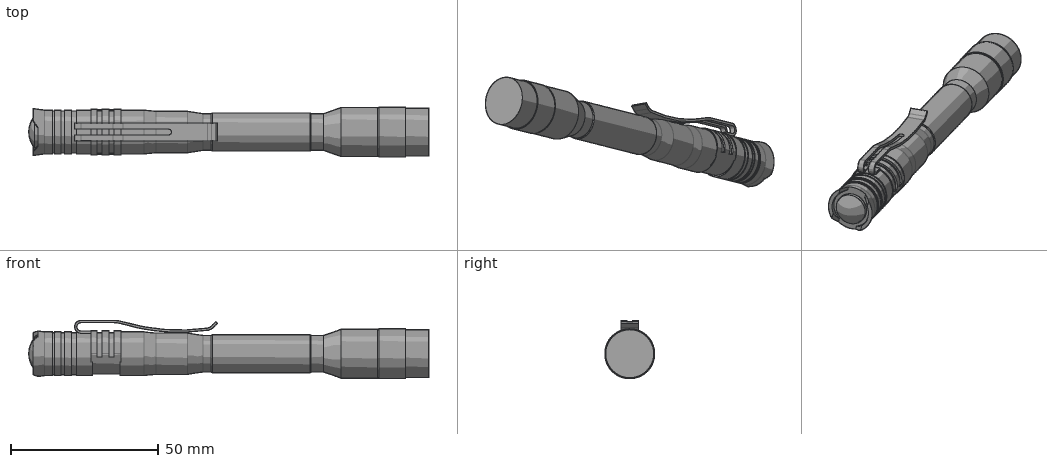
import cadquery as cq
import math

LENGTH = 135.8
HEIGHT = 19.8
HEAD_RADIUS = 17.0 / 2

CAP_START = 1.5
CAP_END = 16.2
CAP_NECK_START = 14.5
CROWN_END = 5.3
CROWN_RADIUS = 8.0
GRIP_RADIUS = 7.5
GROOVE_DEPTH = 0.3
CAP_GROOVES = [(8.0, 8.8), (11.0, 12.1)]
WELL_RADIUS = 6.7
WELL_FLOOR = 3.1
BUTTON_RADIUS = 5.3
BUTTON_EDGE = 1.9
NOTCH_FLOOR_WIDTH = 6.5
NOTCH_MOUTH_WIDTH = 10.9
NOTCH_TURN = 15.0

BARREL_END = 118.5
SHOULDER_START = 39.1
SHOULDER_END = 43.2
WAIST_RADIUS = 7.0
WAIST_END = 54.0
NECK_RADIUS = 6.2
REAR_NECK_START = 59.2
TUBE_START = 62.0
TUBE_END = 95.9
TUBE_RADIUS = 6.5
TUBE_CHAMFER = 0.4
FRONT_NECK_END = 100.1
BELL_START = 106.1
BELL_RADIUS = 16.7 / 2

COLLAR_START = 21.2
COLLAR_END = 31.4
COLLAR_RADIUS = 15.6 / 2
COLLAR_DEPTH_BELOW = 6.9
COLLAR_RECESS_INSET = 0.4
SLOT_STARTS = [23.2, 27.3]
SLOT_WIDTH = 1.6
SLOT_FLOOR_RADIUS = 7.2
SLOT_BOTTOM = -1.1

HEAD_CHAMFER = 0.4
HEAD_BAND_END = 128.0
LIP_RADIUS = 8.2

CLIP_TOP = HEIGHT - HEAD_RADIUS
CLIP_THICKNESS = 0.8
CLIP_WIDTH = 6.0
CLIP_SLOT_WIDTH = 1.9
CLIP_SLOT_END = 48.5
LEG_HEIGHT = 7.3
HOOK_CENTER = 17.8
FLAT_END = 28.7
DIP_ANGLE = math.radians(16.5)
DIP_BEND_RADIUS = 11.5
SPRING_RADIUS = 67.9
RISE_ANGLE = math.radians(8)
TIP_ANGLE = math.radians(45)
TIP_BEND_RADIUS = 3.0
TIP_LENGTH = 2.0


def revolve_about_x(points):
    """Turn an (x, radius) outline, closed along the axis, into a solid about X."""
    return cq.Workplane("XY").polyline(points).close().revolve(360, (0, 0, 0), (1, 0, 0))


def cylinder_x(start, end, radius):
    return cq.Workplane("YZ", origin=(start, 0, 0)).circle(radius).extrude(end - start)


def ring_x(start, end, outer, inner):
    return cq.Workplane("YZ", origin=(start, 0, 0)).circle(outer).circle(inner).extrude(end - start)


def make_button():
    sphere_radius = (BUTTON_RADIUS**2 + BUTTON_EDGE**2) / (2 * BUTTON_EDGE)
    half_angle = math.asin(BUTTON_RADIUS / sphere_radius) / 2
    dome_middle = (
        sphere_radius * (1 - math.cos(half_angle)),
        sphere_radius * math.sin(half_angle),
    )
    return (
        cq.Workplane("XY")
        .moveTo(0, 0)
        .threePointArc(dome_middle, (BUTTON_EDGE, BUTTON_RADIUS))
        .lineTo(WELL_FLOOR, BUTTON_RADIUS)
        .lineTo(WELL_FLOOR, 0)
        .close()
        .revolve(360, (0, 0, 0), (1, 0, 0))
    )


def make_crown_notch():
    """Flared bar across the cap that opens both sides of the crown."""
    return (
        cq.Workplane("XY", origin=(0, 0, -HEAD_RADIUS))
        .polyline([
            (CAP_START, -NOTCH_MOUTH_WIDTH / 2),
            (WELL_FLOOR, -NOTCH_FLOOR_WIDTH / 2),
            (WELL_FLOOR, NOTCH_FLOOR_WIDTH / 2),
            (CAP_START, NOTCH_MOUTH_WIDTH / 2),
        ])
        .close()
        .extrude(2 * HEAD_RADIUS)
        .rotate((0, 0, 0), (1, 0, 0), NOTCH_TURN)
    )


def make_tail_cap():
    cap = revolve_about_x([
        (CAP_START, 0),
        (CAP_START, CROWN_RADIUS),
        (CROWN_END, GRIP_RADIUS),
        (CAP_NECK_START, GRIP_RADIUS),
        (CAP_NECK_START, GRIP_RADIUS - GROOVE_DEPTH),
        (CAP_END, GRIP_RADIUS - GROOVE_DEPTH),
        (CAP_END, 0),
    ])
    for start, end in CAP_GROOVES:
        cap = cap.cut(ring_x(start, end, CROWN_RADIUS, GRIP_RADIUS - GROOVE_DEPTH))
    cap = cap.cut(cylinder_x(CAP_START, WELL_FLOOR, WELL_RADIUS)).cut(make_crown_notch())
    return cap.union(make_button())


def collar_section(start, end):
    """Half circle on top, joined at mid height by a flatter arc underneath."""
    return (
        cq.Workplane("YZ", origin=(start, 0, 0))
        .moveTo(-COLLAR_RADIUS, 0)
        .threePointArc((0, COLLAR_RADIUS), (COLLAR_RADIUS, 0))
        .threePointArc((0, -COLLAR_DEPTH_BELOW), (-COLLAR_RADIUS, 0))
        .close()
        .extrude(end - start)
    )


def add_collar(barrel):
    recess_start = COLLAR_START + COLLAR_RECESS_INSET
    recess_end = COLLAR_END - COLLAR_RECESS_INSET
    recess = cylinder_x(recess_start, recess_end, HEAD_RADIUS).cut(
        collar_section(recess_start, recess_end)
    )
    barrel = barrel.cut(recess).union(collar_section(COLLAR_START, COLLAR_END))
    for start in SLOT_STARTS:
        slot = ring_x(start, start + SLOT_WIDTH, HEAD_RADIUS, SLOT_FLOOR_RADIUS)
        above = cq.Workplane("XY").box(
            SLOT_WIDTH, 2 * HEAD_RADIUS, 2 * HEAD_RADIUS, centered=(False, True, False)
        ).translate((start, 0, SLOT_BOTTOM))
        barrel = barrel.cut(slot.intersect(above))
    return barrel


def make_barrel(clip):
    """Stepped barrel with seats for the clip's two prongs."""
    barrel = revolve_about_x([
        (CAP_END, 0),
        (CAP_END, GRIP_RADIUS),
        (SHOULDER_START, GRIP_RADIUS),
        (SHOULDER_END, WAIST_RADIUS),
        (WAIST_END, WAIST_RADIUS),
        (REAR_NECK_START, NECK_RADIUS),
        (TUBE_START, NECK_RADIUS),
        (TUBE_START + TUBE_CHAMFER, TUBE_RADIUS),
        (TUBE_END - TUBE_CHAMFER, TUBE_RADIUS),
        (TUBE_END, NECK_RADIUS),
        (FRONT_NECK_END, NECK_RADIUS),
        (BELL_START, BELL_RADIUS),
        (BARREL_END, BELL_RADIUS),
        (BARREL_END, 0),
    ])
    return add_collar(barrel).cut(clip)


def make_head():
    return revolve_about_x([
        (BARREL_END, 0),
        (BARREL_END, HEAD_RADIUS - HEAD_CHAMFER),
        (BARREL_END + HEAD_CHAMFER, HEAD_RADIUS),
        (HEAD_BAND_END, HEAD_RADIUS),
        (HEAD_BAND_END, LIP_RADIUS),
        (LENGTH, LIP_RADIUS),
        (LENGTH, 0),
    ])


def make_clip():
    """Strip bent along a hooked path, with a slot along its middle from the leg to the spring arc."""
    flat_height = CLIP_TOP - CLIP_THICKNESS / 2
    hook_radius = (flat_height - LEG_HEIGHT) / 2

    dip_end = (
        FLAT_END + DIP_BEND_RADIUS * math.sin(DIP_ANGLE),
        flat_height - DIP_BEND_RADIUS * (1 - math.cos(DIP_ANGLE)),
    )
    spring_end = (
        dip_end[0] + SPRING_RADIUS * (math.sin(DIP_ANGLE) + math.sin(RISE_ANGLE)),
        dip_end[1] - SPRING_RADIUS * (math.cos(RISE_ANGLE) - math.cos(DIP_ANGLE)),
    )
    tip_start = (
        spring_end[0] + TIP_BEND_RADIUS * (math.sin(TIP_ANGLE) - math.sin(RISE_ANGLE)),
        spring_end[1] + TIP_BEND_RADIUS * (math.cos(RISE_ANGLE) - math.cos(TIP_ANGLE)),
    )
    tip_end = (
        tip_start[0] + TIP_LENGTH * math.cos(TIP_ANGLE),
        tip_start[1] + TIP_LENGTH * math.sin(TIP_ANGLE),
    )
    path = (
        cq.Workplane("XZ")
        .moveTo(COLLAR_START, LEG_HEIGHT)
        .lineTo(HOOK_CENTER, LEG_HEIGHT)
        .threePointArc(
            (HOOK_CENTER - hook_radius, LEG_HEIGHT + hook_radius),
            (HOOK_CENTER, flat_height),
        )
        .lineTo(FLAT_END, flat_height)
        .tangentArcPoint(dip_end, relative=False)
        .tangentArcPoint(spring_end, relative=False)
        .tangentArcPoint(tip_start, relative=False)
        .lineTo(*tip_end)
    )
    strip = (
        cq.Workplane("YZ", origin=(COLLAR_START, 0, LEG_HEIGHT))
        .rect(CLIP_WIDTH, CLIP_THICKNESS)
        .sweep(path)
    )
    slot_start = HOOK_CENTER - 2 * hook_radius
    slot_end_center = CLIP_SLOT_END - CLIP_SLOT_WIDTH / 2
    slot = (
        cq.Workplane("XY")
        .moveTo(slot_start, -CLIP_SLOT_WIDTH / 2)
        .lineTo(slot_end_center, -CLIP_SLOT_WIDTH / 2)
        .threePointArc((CLIP_SLOT_END, 0), (slot_end_center, CLIP_SLOT_WIDTH / 2))
        .lineTo(slot_start, CLIP_SLOT_WIDTH / 2)
        .close()
        .extrude(2 * CLIP_TOP)
    )
    return strip.cut(slot)


clip = make_clip()
tail_cap = make_tail_cap()
barrel = make_barrel(clip)
head = make_head()

bodies = [tail_cap, barrel, head, clip]
result = cq.Compound.makeCompound([body.solids().val() for body in bodies])